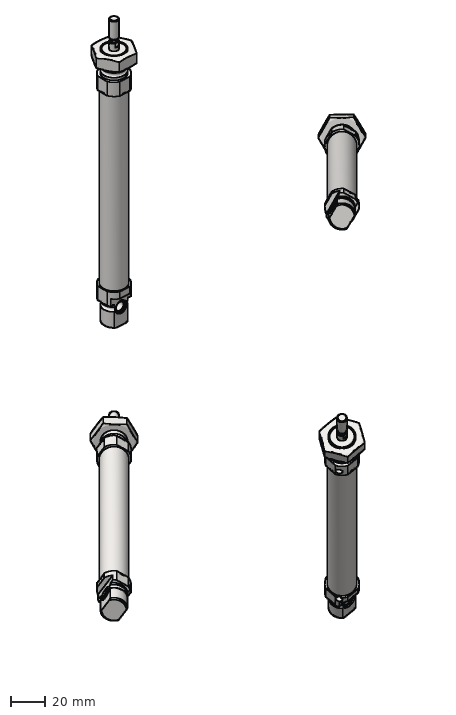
import cadquery as cq
import math

total_length = 211.0
cap_height = 10.0
rear_cap_base = 16.9
front_cap_top = 173.0
front_face = 190.0

tube_diameter = 17.3
cap_diameter = 20.0
cap_across_flats = 18.4

thread_diameter = 16.0
relief_diameter = 13.7
thread_chamfer = 0.8
collar_length = 2.0
relief_depth = (thread_diameter - relief_diameter) / 2
relief_floor_length = 0.5
relief_cone_angle = 45.0

tongue_thickness = 12.0
tongue_top = 22.0
pivot_diameter = 6.0
pivot_recess_diameter = 8.0
pivot_rim_diameter = 8.9
pivot_recess_depth = 1.0
pivot_height = 12.9

port_diameter = 4.2
port_depth = 3.2
port_angle = 126.0
front_port_height = 167.1
rear_port_height = 25.0

rod_diameter = 6.0
rod_neck_diameter = 4.9
rod_thread_base = 196.9
rod_shoulder = 195.5
rod_runout_length = 1.3
rod_chamfer = (rod_diameter - rod_neck_diameter) / 2
rod_across_flats = 5.0
rod_flats_base = 192.5

nut_across_flats = 24.0
nut_height = 8.0
nut_corner_diameter = nut_across_flats / math.cos(math.pi / 6)
nut_face_diameter = 23.8
nut_chamfer_height = 0.6


def cylinder(diameter, bottom, top):
    """Solid cylinder on the Z axis between two heights."""
    return cq.Workplane("XY").workplane(offset=bottom).circle(diameter / 2).extrude(top - bottom)


def box(size_x, size_y, bottom, top):
    """Box centred on the Z axis between two heights."""
    return cq.Workplane("XY").workplane(offset=bottom).rect(size_x, size_y).extrude(top - bottom)


def make_cap(bottom):
    """Round end cap with four flats."""
    flats = box(cap_across_flats, cap_across_flats, bottom, bottom + cap_height)
    return cylinder(cap_diameter, bottom, bottom + cap_height).intersect(flats)


def make_neck(root, tip):
    """Threaded neck from a cap face to its free end, with a collar and a rounded relief groove.

    The groove rises from its floor as a quarter circle to the collar, and as a
    shorter arc running into a cone to the thread.
    """
    direction = math.copysign(1, tip - root)
    thread_radius = thread_diameter / 2
    floor_radius = relief_diameter / 2
    groove_start = root + direction * collar_length
    floor_start = groove_start + direction * relief_depth
    floor_end = floor_start + direction * relief_floor_length
    corner_offset = relief_depth * math.sqrt(0.5)
    corner_middle = (thread_radius - corner_offset, floor_start - direction * corner_offset)
    cone_angle = math.radians(relief_cone_angle)
    blend_radius = thread_radius - relief_depth * math.cos(cone_angle)
    blend_end = floor_end + direction * relief_depth * math.sin(cone_angle)
    cone_length = (thread_radius - blend_radius) / math.tan(cone_angle)
    half_blend = cone_angle / 2
    blend_middle = (
        thread_radius - relief_depth * math.cos(half_blend),
        floor_end + direction * relief_depth * math.sin(half_blend),
    )
    profile = (
        cq.Workplane("XZ")
        .moveTo(0, root)
        .lineTo(thread_radius, root)
        .lineTo(thread_radius, groove_start)
        .threePointArc(corner_middle, (floor_radius, floor_start))
        .lineTo(floor_radius, floor_end)
        .threePointArc(blend_middle, (blend_radius, blend_end))
        .lineTo(thread_radius, blend_end + direction * cone_length)
        .lineTo(thread_radius, tip - direction * thread_chamfer)
        .lineTo(thread_radius - thread_chamfer, tip)
        .lineTo(0, tip)
        .close()
    )
    return profile.revolve(360, (0, 0), (0, 1))


def cut_tongue(body):
    """Two parallel flats on the rear end, facing -X and +X."""
    rear_end = cylinder(2 * cap_diameter, 0, tongue_top)
    tongue = box(tongue_thickness, 2 * cap_diameter, 0, tongue_top)
    return body.cut(rear_end.cut(tongue))


def cut_pivot_hole(body):
    """Cross hole through the tongue along X, with a shallow tapered recess on both sides."""
    hole = (
        cq.Workplane("YZ")
        .center(0, pivot_height)
        .circle(pivot_diameter / 2)
        .extrude(tongue_thickness, both=True)
    )
    recess = cq.Workplane(
        cq.Solid.makeCone(
            pivot_rim_diameter / 2,
            pivot_recess_diameter / 2,
            pivot_recess_depth,
            cq.Vector(tongue_thickness / 2, 0, pivot_height),
            cq.Vector(-1, 0, 0),
        )
    )
    return body.cut(hole).cut(recess).cut(recess.mirror("YZ"))


def cut_port(body, height):
    """Blind radial air port in the rounded corner of a cap."""
    floor_radius = cap_diameter / 2 - port_depth
    port = (
        cq.Workplane("YZ")
        .workplane(offset=floor_radius)
        .circle(port_diameter / 2)
        .extrude(2 * port_depth)
        .rotate((0, 0, 0), (0, 0, 1), port_angle)
        .translate((0, 0, height))
    )
    return body.cut(port)


def make_housing():
    """Tube with both caps and threaded necks."""
    front_cap_base = front_cap_top - cap_height
    body = cylinder(tube_diameter, rear_cap_base, front_cap_top)
    body = body.union(make_cap(rear_cap_base)).union(make_cap(front_cap_base))
    body = body.union(make_neck(rear_cap_base, 0)).union(make_neck(front_cap_top, front_face))
    body = cut_tongue(body)
    body = cut_pivot_hole(body)
    for height in (rear_port_height, front_port_height):
        body = cut_port(body, height)
    return body


def make_piston_rod():
    """Rod end standing on the front face: wrench flats, undercut and threaded tip."""
    radius = rod_diameter / 2
    neck_radius = rod_neck_diameter / 2
    profile = [
        (0, front_face),
        (radius, front_face),
        (radius, rod_shoulder - rod_chamfer),
        (neck_radius, rod_shoulder),
        (neck_radius, rod_thread_base),
        (radius, rod_thread_base + rod_runout_length),
        (radius, total_length - rod_chamfer),
        (neck_radius, total_length),
        (0, total_length),
    ]
    rod = cq.Workplane("XZ").polyline(profile).close().revolve(360, (0, 0), (0, 1))
    flats_blank = cylinder(2 * rod_diameter, rod_flats_base, rod_shoulder)
    flats_core = box(rod_across_flats, 2 * rod_diameter, rod_flats_base, rod_shoulder)
    return rod.cut(flats_blank.cut(flats_core))


def make_nut():
    """Hexagon nut with chamfered corners, flats facing -X and +X."""
    base = front_face - nut_height
    corner_radius = nut_corner_diameter / 2
    face_radius = nut_face_diameter / 2
    hexagon = (
        cq.Workplane("XY")
        .workplane(offset=base)
        .polygon(6, nut_across_flats, circumscribed=True)
        .extrude(nut_height)
    )
    profile = [
        (0, base),
        (face_radius, base),
        (corner_radius, base + nut_chamfer_height),
        (corner_radius, front_face - nut_chamfer_height),
        (face_radius, front_face),
        (0, front_face),
    ]
    envelope = cq.Workplane("XZ").polyline(profile).close().revolve(360, (0, 0), (0, 1))
    return hexagon.intersect(envelope).cut(cylinder(thread_diameter, base, front_face))


housing = make_housing()
piston_rod = make_piston_rod()
nut = make_nut()

result = cq.Compound.makeCompound([housing.val(), piston_rod.val(), nut.val()])